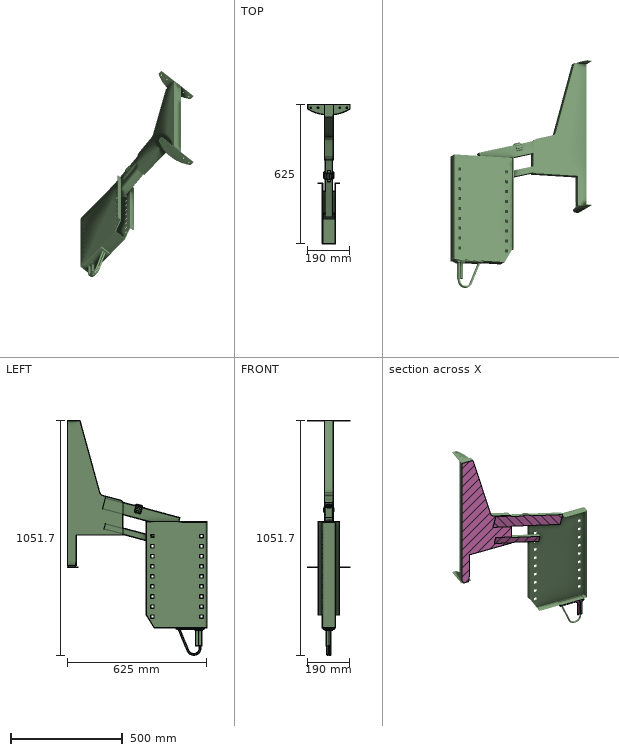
import cadquery as cq
import math


TOP_Z = 660.0
FRAME_WIDTH = 40.0
LEG_DEPTH = 40.0
TOP_DEPTH = 56.0
FRAME_END_Y = -248.0
FRAME_SHELF_Z = 145.0
NECK_Y = -147.0
NECK_Z = 326.0
NECK_RADIUS = 19.0
NOSE_DROP_Y = 15.0
FOOT_HEIGHT = 9.0
FOOT_INSET = 3.0
FOOT_BEVEL_TOP_Z = 40.0
FOOT_BEVEL_DEPTH = 6.0

PLATE_LENGTH = 190.0
PLATE_THICKNESS = 3.0
PLATE_END_DEPTH = 20.0
PLATE_MID_DEPTH = 47.0
PLATE_HOLE_DIAMETER = 5.5
PLATE_HOLE_Y = -15.0
PLATE_HOLE_X = (48.0, 81.0)

ARM_SLOPE = 15.0
ARM_WIDTH = 34.0
ARM_EDGE_RADIUS = 2.6
UPPER_ARM_TOP_Z = 292.0
UPPER_ARM_HEIGHT = 54.0
LOWER_ARM_TOP_Z = 178.0
LOWER_ARM_HEIGHT = 28.0
ARM_INSERTION = 81.0
UPPER_ARM_REACH = 264.0
LOWER_ARM_REACH = 147.0

NUT_CENTRE = 75.0
NUT_AXIS_DEPTH = 15.0
NUT_DIAMETER = 46.0
NUT_LENGTH = 29.0
NUT_CHAMFER = 3.0
FLUTE_COUNT = 10
FLUTE_DIAMETER = 6.0
HUB_DIAMETER = 33.0
HUB_LENGTH = 53.0

SHEET = 3.0
TRAY_WIDTH = 60.0
TRAY_FRONT_Y = -625.0
TRAY_BACK_Y = -350.0
TRAY_TOP_Z = 206.0
TRAY_BOTTOM_Z = -270.0
BEND_INNER_RADIUS = 1.0
BEND_OUTER_RADIUS = BEND_INNER_RADIUS + SHEET
FLANGE_SPAN = 95.0
FLANGE_BOTTOM_Z = -213.0
FLOOR_BACK_Y = -388.0
ROOF_BACK_Y = -512.0
WINDOW_SIZE = 14.0
WINDOW_COLUMNS_Y = (-380.0, -600.0)
WINDOW_ROWS = 9
WINDOW_TOP_Z = 141.0
WINDOW_BOTTOM_Z = -219.0
WINDOW_PITCH = (WINDOW_TOP_Z - WINDOW_BOTTOM_Z) / (WINDOW_ROWS - 1)

BASE_BACK_Y = -486.0
BASE_FRONT_Y = -612.0
BASE_WIDTH = 53.0
BASE_THICKNESS = 6.0
BASE_CHAMFER = 3.0
FLOOR_LEDGE = 3.0
CABLE_DIAMETER = 8.0
CABLE_SPACING = 10.0
LOOP_RADIUS = 28.0
LOOP_BOTTOM_Z = TOP_Z - 1052.0
LOOP_Y = -565.0
CABLE_ANCHOR_Y = -500.0
SLEEVE_DIAMETER = 15.0
SLEEVE_BOTTOM_Z = -350.0
SLEEVE_ROW_PITCH = 14.0
COLLAR_SIZE = 34.0
COLLAR_HEIGHT = 4.0

SLOPE = math.radians(ARM_SLOPE)


def box(x_range, y_range, z_range):
    """Block that spans the given (low, high) ranges."""
    sizes = [high - low for low, high in (x_range, y_range, z_range)]
    corner = (x_range[0], y_range[0], z_range[0])
    return cq.Workplane("XY").box(*sizes, centered=False).translate(corner)


def span(width):
    """Range of the given width, centred on the part's middle plane."""
    return (-width / 2, width / 2)


def extrude_side_profile(sketch, width):
    """Solid of the given X width from a closed YZ outline, centred on X = 0."""
    return sketch.extrude(width / 2, both=True)



def arm_bar(top_z, reach, height):
    """Sloping bar whose top face passes through (FRAME_END_Y, top_z)."""
    bar = box(span(ARM_WIDTH), (-reach, ARM_INSERTION), (-height, 0))
    bar = bar.edges("|Y").fillet(ARM_EDGE_RADIUS)
    return bar.rotate((0, 0, 0), (1, 0, 0), ARM_SLOPE).translate((0, FRAME_END_Y, top_z))


def make_nut():
    """Fluted nut with a longer hub, placed on its axis in the upper arm."""
    nut = cq.Workplane("XZ").circle(NUT_DIAMETER / 2).extrude(NUT_LENGTH / 2, both=True)
    nut = nut.edges().chamfer(NUT_CHAMFER)
    flutes = cq.Workplane("XZ").polarArray(NUT_DIAMETER / 2, 90, 360, FLUTE_COUNT)
    nut = nut.cut(flutes.circle(FLUTE_DIAMETER / 2).extrude(NUT_LENGTH / 2, both=True))
    hub = cq.Workplane("XZ").circle(HUB_DIAMETER / 2).extrude(HUB_LENGTH / 2, both=True)
    nut = nut.union(hub).translate((0, -NUT_CENTRE, -NUT_AXIS_DEPTH))
    return nut.rotate((0, 0, 0), (1, 0, 0), ARM_SLOPE).translate((0, FRAME_END_Y, UPPER_ARM_TOP_Z))


def make_upper_arm():
    return arm_bar(UPPER_ARM_TOP_Z, UPPER_ARM_REACH, UPPER_ARM_HEIGHT).union(make_nut())


def make_lower_arm():
    return arm_bar(LOWER_ARM_TOP_Z, LOWER_ARM_REACH, LOWER_ARM_HEIGHT)



def mounting_plate(bottom_z):
    """Wall plate with a bowed front edge and two holes in each wing."""
    half = PLATE_LENGTH / 2
    plate = (
        cq.Workplane("XY", origin=(0, 0, bottom_z))
        .moveTo(-half, 0)
        .lineTo(-half, -PLATE_END_DEPTH)
        .threePointArc((0, -PLATE_MID_DEPTH), (half, -PLATE_END_DEPTH))
        .lineTo(half, 0)
        .close()
        .extrude(PLATE_THICKNESS)
    )
    holes = [(side * x, PLATE_HOLE_Y) for side in (-1, 1) for x in PLATE_HOLE_X]
    drill = (
        cq.Workplane("XY", origin=(0, 0, bottom_z))
        .pushPoints(holes)
        .circle(PLATE_HOLE_DIAMETER / 2)
        .extrude(PLATE_THICKNESS)
    )
    return plate.cut(drill)


def frame_body():
    """Leg, leaning upper part and nose, with a rounded neck."""
    nose_y = FRAME_END_Y + NOSE_DROP_Y
    nose_z = NECK_Z + (nose_y - NECK_Y) * math.tan(SLOPE)
    neck_setback = NECK_RADIUS * math.tan(math.pi / 4 - SLOPE)
    neck_upper = (NECK_Y + neck_setback * math.sin(SLOPE), NECK_Z + neck_setback * math.cos(SLOPE))
    neck_lower = (NECK_Y - neck_setback * math.cos(SLOPE), NECK_Z - neck_setback * math.sin(SLOPE))
    profile = (
        cq.Workplane("YZ")
        .moveTo(0, FOOT_HEIGHT)
        .lineTo(0, TOP_Z)
        .lineTo(-TOP_DEPTH, TOP_Z)
        .lineTo(*neck_upper)
        .tangentArcPoint(neck_lower, relative=False)
        .lineTo(nose_y, nose_z)
        .tangentArcPoint((FRAME_END_Y, UPPER_ARM_TOP_Z), relative=False)
        .lineTo(FRAME_END_Y, FRAME_SHELF_Z)
        .lineTo(-LEG_DEPTH, FRAME_SHELF_Z)
        .lineTo(-LEG_DEPTH, FOOT_HEIGHT)
        .close()
    )
    foot = box(span(FRAME_WIDTH - 2 * FOOT_INSET), (-LEG_DEPTH, -FOOT_INSET), (0, FOOT_HEIGHT))
    bevel = (
        cq.Workplane("YZ")
        .moveTo(-LEG_DEPTH, FOOT_BEVEL_TOP_Z)
        .lineTo(-LEG_DEPTH + FOOT_BEVEL_DEPTH, 0)
        .lineTo(-LEG_DEPTH, 0)
        .close()
    )
    body = extrude_side_profile(profile, FRAME_WIDTH).union(foot)
    return body.cut(extrude_side_profile(bevel, FRAME_WIDTH - 2 * FOOT_INSET))


def make_frame(upper_arm, lower_arm):
    """Frame with its two plates and sockets that fit the arms."""
    frame = frame_body()
    for bottom_z in (0, TOP_Z - PLATE_THICKNESS):
        frame = frame.union(mounting_plate(bottom_z))
    return frame.cut(upper_arm).cut(lower_arm)



def tray_windows():
    """Square holes through both side walls, in two columns."""
    bars = cq.Workplane("YZ").pushPoints([
        (y, WINDOW_TOP_Z - row * WINDOW_PITCH)
        for y in WINDOW_COLUMNS_Y
        for row in range(WINDOW_ROWS)
    ])
    return bars.rect(WINDOW_SIZE, WINDOW_SIZE).extrude(TRAY_WIDTH, both=True)


def folded_sheet(z_range):
    """Upright sheet folded into a front, two side walls and two flanges, with rounded bends."""
    outer_x = TRAY_WIDTH / 2
    inner_x = outer_x - SHEET
    inner_front_y = TRAY_FRONT_Y + SHEET
    inner_flange_y = TRAY_BACK_Y - SHEET
    sheet = box(span(TRAY_WIDTH), (TRAY_FRONT_Y, TRAY_BACK_Y), z_range)
    sheet = sheet.union(box(span(FLANGE_SPAN), (inner_flange_y, TRAY_BACK_Y), z_range))
    sheet = sheet.cut(box(span(2 * inner_x), (inner_front_y, TRAY_BACK_Y), z_range))
    bends = [
        (outer_x, TRAY_FRONT_Y, BEND_OUTER_RADIUS),
        (inner_x, inner_front_y, BEND_INNER_RADIUS),
        (inner_x, TRAY_BACK_Y, BEND_OUTER_RADIUS),
        (outer_x, inner_flange_y, BEND_INNER_RADIUS),
    ]
    middle_z = sum(z_range) / 2
    for x, y, radius in bends:
        for side in (-1, 1):
            bend = cq.selectors.NearestToPointSelector((side * x, y, middle_z))
            sheet = sheet.edges(bend).fillet(radius)
    return sheet


def make_tray():
    """Folded sheet with a roof, a floor, cut-off lower corners and windows."""
    tray = folded_sheet((TRAY_BOTTOM_Z, TRAY_TOP_Z))
    end_x = span(TRAY_WIDTH - SHEET)
    end_front_y = TRAY_FRONT_Y + SHEET / 2
    tray = tray.union(box(end_x, (end_front_y, ROOF_BACK_Y), (TRAY_TOP_Z - SHEET, TRAY_TOP_Z)))
    floor_z = (TRAY_BOTTOM_Z, TRAY_BOTTOM_Z + SHEET)
    tray = tray.union(box(end_x, (end_front_y, FLOOR_BACK_Y), floor_z))
    floor_opening = box(
        span(BASE_WIDTH - 2 * FLOOR_LEDGE),
        (BASE_FRONT_Y + FLOOR_LEDGE, BASE_BACK_Y - FLOOR_LEDGE),
        floor_z,
    )
    corner_cut = (
        cq.Workplane("YZ")
        .moveTo(FLOOR_BACK_Y, TRAY_BOTTOM_Z)
        .lineTo(TRAY_BACK_Y - SHEET, FLANGE_BOTTOM_Z)
        .lineTo(TRAY_BACK_Y, FLANGE_BOTTOM_Z)
        .lineTo(TRAY_BACK_Y, TRAY_BOTTOM_Z)
        .close()
    )
    tray = tray.cut(floor_opening).cut(extrude_side_profile(corner_cut, FLANGE_SPAN))
    return tray.cut(tray_windows())



def cable(x):
    """Cable from its anchor down, around the loop and up into the sleeve."""
    base_z = TRAY_BOTTOM_Z - BASE_THICKNESS
    loop_z = LOOP_BOTTOM_Z + LOOP_RADIUS + CABLE_DIAMETER / 2
    to_anchor_y = CABLE_ANCHOR_Y - LOOP_Y
    to_anchor_z = base_z - loop_z
    distance = math.hypot(to_anchor_y, to_anchor_z)
    angle = math.atan2(to_anchor_z, to_anchor_y) - math.acos(LOOP_RADIUS / distance)
    touch = (LOOP_Y + LOOP_RADIUS * math.cos(angle), loop_z + LOOP_RADIUS * math.sin(angle))
    path = (
        cq.Workplane("YZ", origin=(x, 0, 0))
        .moveTo(CABLE_ANCHOR_Y, base_z)
        .lineTo(*touch)
        .threePointArc((LOOP_Y, loop_z - LOOP_RADIUS), (LOOP_Y - LOOP_RADIUS, loop_z))
        .lineTo(LOOP_Y - LOOP_RADIUS, base_z)
    )
    section = cq.Workplane("XY", origin=(x, CABLE_ANCHOR_Y, base_z)).circle(CABLE_DIAMETER / 2)
    return section.sweep(path)


def make_handle():
    """Base plate under the tray, crimp sleeves and a doubled cable loop."""
    base_z = TRAY_BOTTOM_Z - BASE_THICKNESS
    handle = box(span(BASE_WIDTH), (BASE_FRONT_Y, BASE_BACK_Y), (base_z, TRAY_BOTTOM_Z))
    handle = handle.faces("<Z").edges().chamfer(BASE_CHAMFER)
    front_row_y = LOOP_Y - LOOP_RADIUS
    back_row_y = front_row_y + SLEEVE_ROW_PITCH
    collar = cq.Workplane("XY", origin=(0, (front_row_y + back_row_y) / 2, base_z))
    handle = handle.union(collar.rect(COLLAR_SIZE, COLLAR_SIZE).extrude(-COLLAR_HEIGHT))
    sleeves = cq.Workplane("XY", origin=(0, 0, base_z)).pushPoints([
        (side * CABLE_SPACING / 2, y)
        for side in (-1, 1)
        for y in (front_row_y, back_row_y)
    ])
    handle = handle.union(sleeves.circle(SLEEVE_DIAMETER / 2).extrude(SLEEVE_BOTTOM_Z - base_z))
    for side in (-1, 1):
        handle = handle.union(cable(side * CABLE_SPACING / 2))
    return handle


upper_arm = make_upper_arm()
lower_arm = make_lower_arm()
frame = make_frame(upper_arm, lower_arm)
tray = make_tray()
handle = make_handle()

result = cq.Compound.makeCompound([frame.val(), upper_arm.val(), lower_arm.val(), tray.val(), handle.val()])